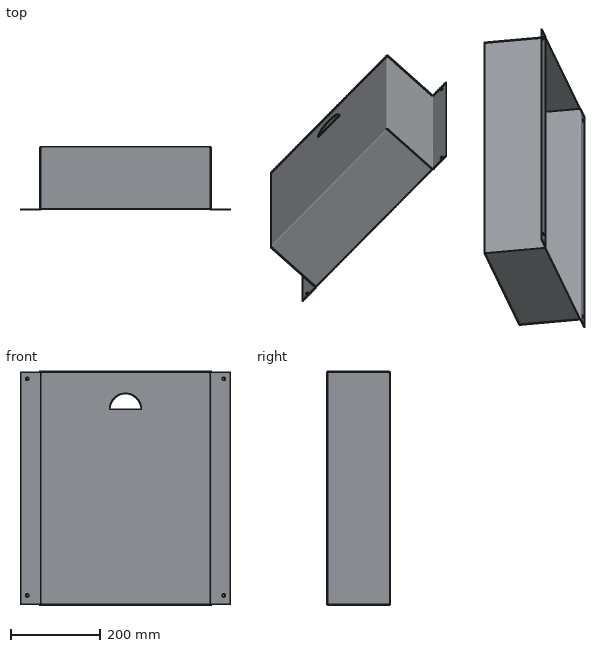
import cadquery as cq

sheet = 1.5
inner_width = 380.0
inner_height = 520.0
overall_width = 470.0
overall_depth = 141.5

inner_bend_radius = 1.5
outer_bend_radius = inner_bend_radius + sheet

mounting_hole_diameter = 6.0
hole_edge_distance = 15.0
hole_top_distance = 15.0
hole_bottom_distance = 20.0

handle_radius = 35.0
handle_flat_from_top = 83.0

tray_width = inner_width + 2 * sheet
tray_height = inner_height + 2 * sheet
tray_front = sheet
tray_depth = overall_depth - tray_front


def block(width, depth, height, front):
    """Box centred in X and Z, running from Y = front toward +Y."""
    return cq.Workplane("XY").box(width, depth, height).translate((0, front + depth / 2, 0))


def make_tray():
    """Back panel and four walls with rounded bends along the rear edges."""
    outer = block(tray_width, tray_depth, tray_height, tray_front)
    outer = outer.faces(">Y").edges().fillet(outer_bend_radius)
    cavity = block(inner_width, tray_depth - sheet, inner_height, tray_front)
    cavity = cavity.faces(">Y").edges().fillet(inner_bend_radius)
    return outer.cut(cavity)


def make_right_flange():
    """Flange joined to the front of the right side wall, as high as the inside of the tray."""
    wall_inside = inner_width / 2
    bend_end_x = wall_inside + outer_bend_radius
    lap_end_y = 2 * outer_bend_radius
    return (
        cq.Workplane("XY")
        .moveTo(wall_inside, lap_end_y)
        .lineTo(wall_inside, outer_bend_radius)
        .radiusArc((bend_end_x, 0), -outer_bend_radius)
        .lineTo(overall_width / 2, 0)
        .lineTo(overall_width / 2, sheet)
        .lineTo(bend_end_x, sheet)
        .radiusArc((wall_inside + sheet, outer_bend_radius), inner_bend_radius)
        .lineTo(wall_inside + sheet, lap_end_y)
        .close()
        .extrude(inner_height / 2, both=True)
    )


def make_bend_clearance():
    """Space in front of the right side wall that the flange bend occupies."""
    clearance = block(sheet, outer_bend_radius, inner_height, 0)
    return clearance.translate(((inner_width + sheet) / 2, 0, 0))


def cut_mounting_holes(body):
    """Two holes through each flange."""
    x = overall_width / 2 - hole_edge_distance
    top = inner_height / 2 - hole_top_distance
    bottom = -inner_height / 2 + hole_bottom_distance
    points = [(side * x, z) for side in (-1, 1) for z in (bottom, top)]
    drills = (
        cq.Workplane("XZ")
        .pushPoints(points)
        .circle(mounting_hole_diameter / 2)
        .extrude(-sheet)
    )
    return body.cut(drills)


def cut_handle_opening(body):
    """Half-round opening through the back panel, flat edge at the bottom."""
    flat_z = inner_height / 2 - handle_flat_from_top
    opening = (
        cq.Workplane("XZ")
        .moveTo(-handle_radius, flat_z)
        .threePointArc((0, flat_z + handle_radius), (handle_radius, flat_z))
        .close()
        .extrude(-overall_depth)
    )
    return body.cut(opening)


right_flange = make_right_flange()
right_clearance = make_bend_clearance()

body = make_tray()
body = body.cut(right_clearance).cut(right_clearance.mirror("YZ"))
body = body.union(right_flange).union(right_flange.mirror("YZ"))
body = cut_mounting_holes(body)
result = cut_handle_opening(body)